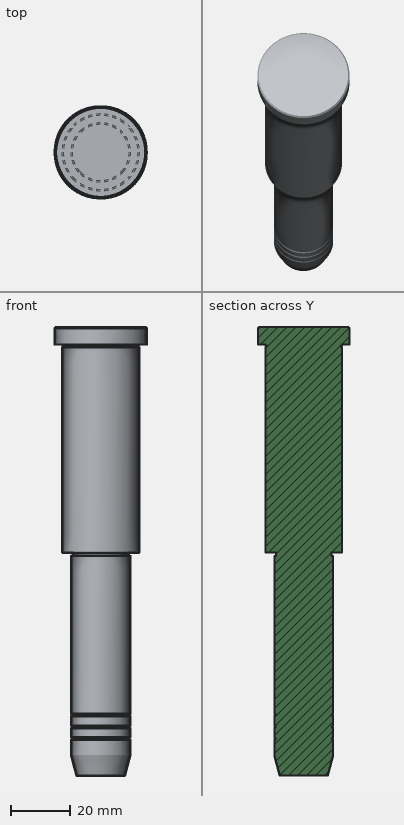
import cadquery as cq
import math

total_length = 151.0
head_height = 6.0
shank_length = 75.0
head_underside = total_length - head_height

head_radius = 31.0 / 2
body_radius = 26.0 / 2
shank_radius = 20.0 / 2

head_chamfer = 0.5
body_fillet = 0.5

head_undercut_width = 1.0
head_undercut_depth = 0.5

shank_undercut_width = 1.0
shank_undercut_depth = 0.5

taper_length = 7.0
taper_angle = 15.0
tip_radius = shank_radius - taper_length * math.tan(math.radians(taper_angle))
tip_fillet = 0.5

groove_count = 3
groove_pitch = 4.0
lowest_groove_height = 12.5
groove_width = 1.0
groove_depth = 0.5

cut_clearance = 1.0


def revolve_outline(points):
    """Solid of revolution about Z from (radius, height) points."""
    return cq.Workplane("XZ").polyline(points).close().revolve(360, (0, 0), (0, 1))


def make_head():
    head = cq.Workplane("XY").workplane(offset=head_underside).circle(head_radius).extrude(head_height)
    return head.faces(">Z").chamfer(head_chamfer)


def make_body():
    body_length = head_underside - shank_length
    body = cq.Workplane("XY").workplane(offset=shank_length).circle(body_radius).extrude(body_length)
    return body.faces("<Z").edges().fillet(body_fillet)


def make_shank():
    """Straight shank with a conical lead-in and a rounded tip edge."""
    shank = revolve_outline(
        [
            (0, 0),
            (tip_radius, 0),
            (shank_radius, taper_length),
            (shank_radius, shank_length),
            (0, shank_length),
        ]
    )
    return shank.faces("<Z").edges().fillet(tip_fillet)


def make_square_ring(radius, top, width, depth):
    """Rectangular-section ring that cuts a cylinder of the given radius."""
    base = cq.Workplane("XY").workplane(offset=top - width)
    return base.circle(radius + cut_clearance).circle(radius - depth).extrude(width)


def make_v_ring(radius, middle, width, depth):
    """V-section ring that cuts a cylinder of the given radius."""
    bottom = middle - width / 2
    top = middle + width / 2
    return revolve_outline(
        [
            (radius, bottom),
            (radius - depth, middle),
            (radius, top),
            (radius + cut_clearance, top),
            (radius + cut_clearance, bottom),
        ]
    )


def cut_undercuts(part):
    head_undercut_middle = head_underside - head_undercut_width / 2
    part = part.cut(make_v_ring(body_radius, head_undercut_middle, head_undercut_width, head_undercut_depth))
    return part.cut(make_square_ring(shank_radius, shank_length, shank_undercut_width, shank_undercut_depth))


def cut_grooves(part):
    for index in range(groove_count):
        groove_height = lowest_groove_height + index * groove_pitch
        part = part.cut(make_v_ring(shank_radius, groove_height, groove_width, groove_depth))
    return part


blank = make_head().union(make_body()).union(make_shank())
result = cut_grooves(cut_undercuts(blank))